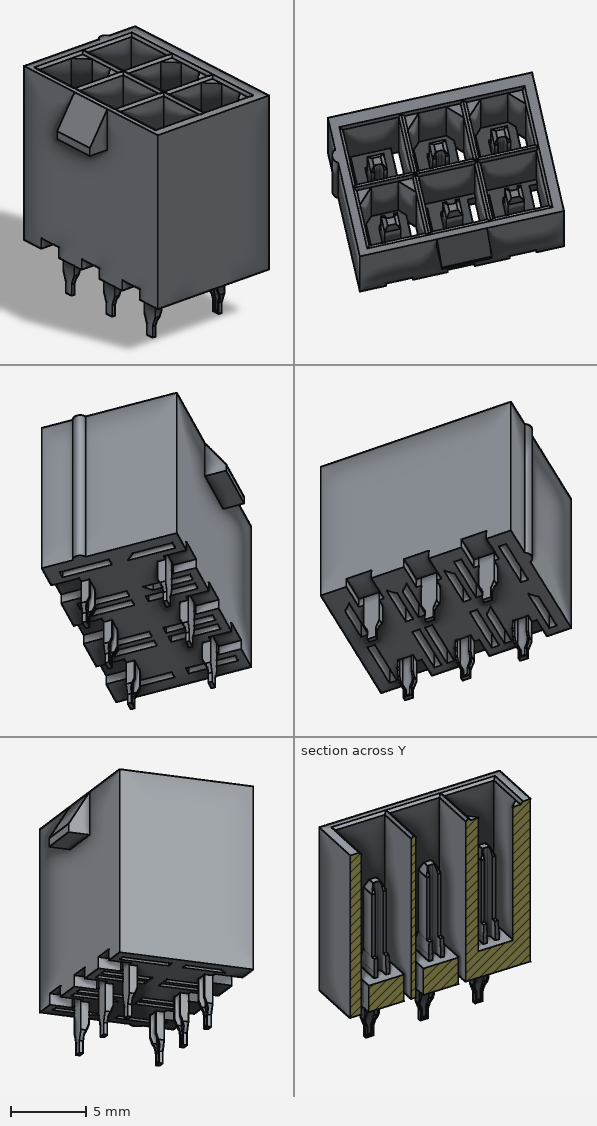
import cadquery as cq
import math

OVERALL_HEIGHT = 16.3

PITCH = 4.2
COLUMN_COUNT = 3
COLUMN_XS = [(i - (COLUMN_COUNT - 1) / 2) * PITCH for i in range(COLUMN_COUNT)]
REAR_ROW, FRONT_ROW = 1, -1
ROW_SIDES = (REAR_ROW, FRONT_ROW)
ROW_Y = PITCH / 2

HOUSING_WIDTH = 13.9
HOUSING_DEPTH = 9.6
HOUSING_HEIGHT = 12.8
HOUSING_FRONT_Y = -4.61
HOUSING_CENTRE_X = 0.05
HOUSING_BACK_Y = HOUSING_FRONT_Y + HOUSING_DEPTH

MOUTH_CHAMFER = 0.2
MOUTH_Z = HOUSING_HEIGHT - MOUTH_CHAMFER
CAVITY_SIZE = PITCH - 2 * MOUTH_CHAMFER
FLOOR_Z = 2.12

POST_LEG = 0.98
KEYED_CAVITIES = [(0, FRONT_ROW), (1, REAR_ROW), (2, REAR_ROW)]

FLOOR_STRIP_WIDTH = 2.74
SLOT_INNER_Y = 0.5
SLOT_OUTER_Y = ROW_Y + CAVITY_SIZE / 2
SLOT_WIDTH = (CAVITY_SIZE - FLOOR_STRIP_WIDTH) / 2
SLOT_OFFSET = (FLOOR_STRIP_WIDTH + SLOT_WIDTH) / 2

NOTCH_WIDTH = 1.83
NOTCH_HEIGHT = 0.78

LATCH_WIDTH = 3.4
LATCH_REACH = 1.5
LATCH_SLOPE_DROP = 2.41
LATCH_HEIGHT = 3.0
RIB_Y = 2.33
RIB_RADIUS = 0.5
RIB_REACH = 0.3

PIN_WIDTH = 1.12
PIN_OUTER_Y = 3.0
LEG_DEPTH = 0.59
LEG_WALL = 0.13
TAIL_DEPTH = 0.28
TAIL_WIDTH = 0.6
TAIL_END_Z = HOUSING_HEIGHT - OVERALL_HEIGHT
TAIL_TAPER_TOP_Z = -1.95
TAIL_TAPER_BOTTOM_Z = -2.67
FLANGE_TAPER_TOP_Z = -1.55
FLANGE_TAPER_BOTTOM_Z = -2.28

BASE_INNER_Y = 1.12
BASE_WIDTH = 1.2
BASE_SLOPE_Z = 2.6
BASE_TOP_Z = 3.59
BASE_SIDE_SLOPE = 0.05
BASE_SLOPE_OUTER_Y = 2.67
CONTACT_WIDTH = BASE_WIDTH - 2 * BASE_SIDE_SLOPE
CONTACT_INNER_Y = 1.5
CONTACT_OUTER_Y = 2.6
CONTACT_TOP_Z = 9.13
POINT_HEIGHT = 0.65
POINT_TIP_WIDTH = 0.57
POINT_TIP_INNER_Y = 1.83
POINT_TIP_OUTER_Y = 2.33
GROOVE_WIDTH = 0.62
GROOVE_END_Y = 1.85
GROOVE_CORNER_RADIUS = 0.21


def box(x_range, y_range, z_range):
    """Box between pairs of coordinates."""
    sizes = [high - low for low, high in (x_range, y_range, z_range)]
    return cq.Workplane().box(*sizes, centered=False).translate((x_range[0], y_range[0], z_range[0]))


def frustum(lower_x, lower_y, lower_z, upper_x, upper_y, upper_z):
    """Solid between two rectangles, each given by its half width in X and its Y range."""
    def section(half_width, y_range, z):
        low, high = y_range
        corners = [(-half_width, low), (half_width, low), (half_width, high), (-half_width, high)]
        return cq.Wire.makePolygon([cq.Vector(x, y, z) for x, y in corners], close=True)

    sections = [section(lower_x, lower_y, lower_z), section(upper_x, upper_y, upper_z)]
    return cq.Workplane(cq.Solid.makeLoft(sections, True))


def place_in_row(body, column_x, side):
    """Move a body made for the rear row at X = 0 to a column, mirrored if it is in the front row."""
    if side == FRONT_ROW:
        body = body.mirror("XZ")
    return body.translate((column_x, 0, 0))


def make_cavity():
    """Space of a rear-row cavity with its flared mouth."""
    half = CAVITY_SIZE / 2
    straight = box((-half, half), (ROW_Y - half, ROW_Y + half), (FLOOR_Z, MOUTH_Z))
    mouth = frustum(half, (ROW_Y - half, ROW_Y + half), MOUTH_Z, PITCH / 2, (0, PITCH), HOUSING_HEIGHT)
    return straight.union(mouth)


def make_floor_slot():
    """Space of a rear-row floor slot, centred on X = 0."""
    return box((-SLOT_WIDTH / 2, SLOT_WIDTH / 2), (SLOT_INNER_Y, SLOT_OUTER_Y), (0, FLOOR_Z))


def make_pin_hole():
    """Hole in the floor for a rear-row terminal leg."""
    return box((-PIN_WIDTH / 2, PIN_WIDTH / 2), (PIN_OUTER_Y - LEG_DEPTH, PIN_OUTER_Y), (0, FLOOR_Z))


def make_notch():
    """Space of a rear-row notch; it is long enough to clear the front wall when mirrored."""
    return box((-NOTCH_WIDTH / 2, NOTCH_WIDTH / 2), (PIN_OUTER_Y, HOUSING_BACK_Y), (0, NOTCH_HEIGHT))


def make_keying_post(column_x, side, x_side):
    """Triangular post in one +Y corner of a cavity; x_side is -1 or 1."""
    corner_x = column_x + x_side * CAVITY_SIZE / 2
    corner_y = side * ROW_Y + CAVITY_SIZE / 2
    outline = [
        (corner_x, corner_y),
        (corner_x - x_side * POST_LEG, corner_y),
        (corner_x, corner_y - POST_LEG),
    ]
    return cq.Workplane().polyline(outline).close().extrude(MOUTH_Z)


def make_latch():
    """Wedge on the front wall, sloping out from the top edge."""
    outline = [
        (HOUSING_FRONT_Y, HOUSING_HEIGHT),
        (HOUSING_FRONT_Y - LATCH_REACH, HOUSING_HEIGHT - LATCH_SLOPE_DROP),
        (HOUSING_FRONT_Y - LATCH_REACH, HOUSING_HEIGHT - LATCH_HEIGHT),
        (HOUSING_FRONT_Y, HOUSING_HEIGHT - LATCH_HEIGHT),
    ]
    side_plane = cq.Workplane("YZ", origin=(HOUSING_CENTRE_X, 0, 0))
    return side_plane.polyline(outline).close().extrude(LATCH_WIDTH / 2, both=True)


def make_rib():
    """Full-height rounded rib on the -X wall."""
    wall_x = HOUSING_CENTRE_X - HOUSING_WIDTH / 2
    half_chord = math.sqrt(RIB_RADIUS**2 - (RIB_RADIUS - RIB_REACH) ** 2)
    return (
        cq.Workplane()
        .moveTo(wall_x, RIB_Y - half_chord)
        .threePointArc((wall_x - RIB_REACH, RIB_Y), (wall_x, RIB_Y + half_chord))
        .close()
        .extrude(HOUSING_HEIGHT)
    )


def make_housing():
    """Shell with its latch, rib, cavities, floor openings, notches and keying posts."""
    left_x = HOUSING_CENTRE_X - HOUSING_WIDTH / 2
    body = box((left_x, left_x + HOUSING_WIDTH), (HOUSING_FRONT_Y, HOUSING_BACK_Y), (0, HOUSING_HEIGHT))
    body = body.union(make_latch()).union(make_rib())
    for column_x in COLUMN_XS:
        for side in ROW_SIDES:
            body = body.cut(place_in_row(make_cavity(), column_x, side))
            body = body.cut(place_in_row(make_pin_hole(), column_x, side))
            for slot_x in (column_x - SLOT_OFFSET, column_x + SLOT_OFFSET):
                body = body.cut(place_in_row(make_floor_slot(), slot_x, side))
            body = body.cut(place_in_row(make_notch(), column_x, side))
    for column, side in KEYED_CAVITIES:
        for x_side in (-1, 1):
            body = body.union(make_keying_post(COLUMN_XS[column], side, x_side))
    return body


def make_leg_front(inset):
    """Solid with the front outline of a leg, from Y = 0 to its outer face, with every side inset."""
    half_width = PIN_WIDTH / 2 - inset
    half_tail = TAIL_WIDTH / 2 - inset
    right_side = [
        (half_width, FLOOR_Z),
        (half_width, TAIL_TAPER_TOP_Z),
        (half_tail, TAIL_TAPER_BOTTOM_Z),
        (half_tail, TAIL_END_Z + inset),
    ]
    outline = right_side + [(-x, z) for x, z in reversed(right_side)]
    return cq.Workplane("XZ").polyline(outline).close().extrude(-(PIN_OUTER_Y - inset))


def make_pin_leg():
    """Rear-row leg: crossing front and side outlines, hollowed from the side facing Y = 0."""
    tail_inner_y = PIN_OUTER_Y - TAIL_DEPTH
    leg_inner_y = PIN_OUTER_Y - LEG_DEPTH
    side_outline = [
        (PIN_OUTER_Y, FLOOR_Z),
        (PIN_OUTER_Y, TAIL_END_Z),
        (tail_inner_y, TAIL_END_Z),
        (tail_inner_y, FLANGE_TAPER_BOTTOM_Z),
        (leg_inner_y, FLANGE_TAPER_TOP_Z),
        (leg_inner_y, FLOOR_Z),
    ]
    side_shape = cq.Workplane("YZ").polyline(side_outline).close().extrude(PIN_WIDTH / 2, both=True)
    hollow = make_leg_front(LEG_WALL)
    return make_leg_front(0).intersect(side_shape).cut(hollow)


def make_pin_contact():
    """Rear-row contact: sloped base, post and pyramid point, with a round-cornered groove facing Y = 0."""
    point_base_z = CONTACT_TOP_Z - POINT_HEIGHT
    half_contact = CONTACT_WIDTH / 2
    contact_y = (CONTACT_INNER_Y, CONTACT_OUTER_Y)
    half_base = BASE_WIDTH / 2
    base_y = (BASE_INNER_Y, PIN_OUTER_Y)
    base = box((-half_base, half_base), base_y, (FLOOR_Z, BASE_SLOPE_Z))
    slope = frustum(
        half_base, base_y, BASE_SLOPE_Z,
        half_contact, (BASE_INNER_Y + BASE_SIDE_SLOPE, BASE_SLOPE_OUTER_Y), BASE_TOP_Z,
    )
    post = box((-half_contact, half_contact), contact_y, (BASE_TOP_Z, point_base_z))
    point = frustum(
        half_contact, contact_y, point_base_z,
        POINT_TIP_WIDTH / 2, (POINT_TIP_INNER_Y, POINT_TIP_OUTER_Y), CONTACT_TOP_Z,
    )
    half_groove = GROOVE_WIDTH / 2
    groove = box((-half_groove, half_groove), (BASE_INNER_Y, GROOVE_END_Y), (FLOOR_Z, CONTACT_TOP_Z))
    groove = groove.edges("|Z and >Y").fillet(GROOVE_CORNER_RADIUS)
    return base.union(slope).union(post).union(point).cut(groove)


def make_pin(column_x, side):
    """Complete terminal in one cavity."""
    return place_in_row(make_pin_leg().union(make_pin_contact()), column_x, side)


housing = make_housing()
pins = [make_pin(column_x, side) for column_x in COLUMN_XS for side in ROW_SIDES]
result = cq.Compound.makeCompound([housing.solids().val(), *[pin.solids().val() for pin in pins]])